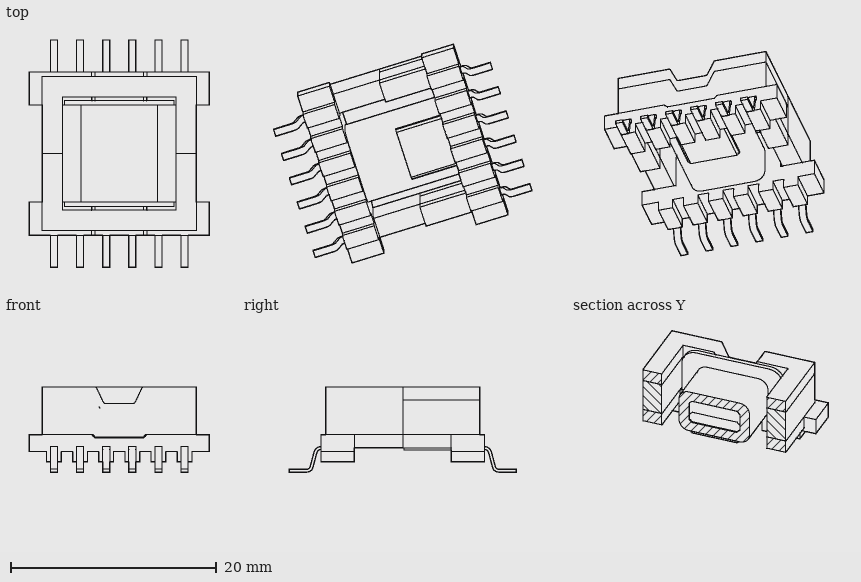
import cadquery as cq
import math


core_top = 8.3
core_height = 4.65
core_bottom = core_top - core_height
rear_core_drop = 1.3

core_width = 15.0
core_length = 7.5
window_width = 11.0
window_length = 5.5
notch_depth = 1.6
notch_top_width = 4.5
notch_floor_width = 3.0
notch_fillet = 0.2
leg_width = 5.3
leg_height = 2.4
leg_chamfer = 0.3
leg_protrusion = 0.2
leg_gap = 0.1
leg_bottom = core_bottom - leg_protrusion

base_width = 17.5
base_bottom = 2.0
base_top = core_bottom
base_inner_y = 4.7
base_outer_y = 7.95
groove_floor = 3.35
groove_floor_width = 4.76
groove_top_width = 5.36
flange_width = 10.6
flange_top = core_top
flange_corner = 1.5
flange_inner_y = base_inner_y
flange_outer_y = 5.15
barrel_wall = 1.07

pins_per_row = 6
pin_pitch = 2.54
foot_width = 1.45
foot_bottom = 1.0
pin_width = 0.7
pin_thickness = 0.3
pin_top = 2.5
pin_tip_y = 11.05
pin_lean = math.radians(15)
pin_shoulder_radius = 0.7
pin_ankle_radius = 0.35

row_x = [(i - (pins_per_row - 1) / 2) * pin_pitch for i in range(pins_per_row)]


def block(x_size, y_start, y_end, z_start, z_end):
    """Box centred on X, between the given Y and Z limits."""
    size = (x_size, y_end - y_start, z_end - z_start)
    solid = cq.Workplane("XY").box(*size, centered=(True, False, False))
    return solid.translate((0, y_start, z_start))


def extrude_along_y(sketch, y_start, y_end):
    """Extrude an XZ outline from y_start to y_end."""
    return sketch.extrude(y_start - y_end).translate((0, y_start, 0))


def trapezoid(width_low, width_high, z_low, z_high):
    """Symmetric XZ trapezoid."""
    return (
        cq.Workplane("XZ")
        .moveTo(-width_low / 2, z_low)
        .lineTo(width_low / 2, z_low)
        .lineTo(width_high / 2, z_high)
        .lineTo(-width_high / 2, z_high)
        .close()
    )


def centre_leg(y_start, y_end):
    """Flat centre leg with four chamfered long edges."""
    leg = block(leg_width, y_start, y_end, leg_bottom, leg_bottom + leg_height)
    return leg.edges("|Y").chamfer(leg_chamfer)


def e_core():
    """Rear E core: back wall, two arms, notched top and offset centre leg."""
    core = block(core_width, 0, core_length, core_bottom, core_top)
    core = core.cut(block(window_width, 0, window_length, core_bottom, core_top))
    notch_floor = core_top - notch_depth
    notch = trapezoid(notch_floor_width, notch_top_width, notch_floor, core_top)
    core = core.cut(extrude_along_y(notch, window_length, core_length))
    notch_x = notch_top_width / 2 + notch_fillet
    notch_edges = cq.selectors.BoxSelector(
        (-notch_x, window_length, notch_floor - notch_fillet),
        (notch_x, core_length, core_top + notch_fillet),
    )
    core = core.edges("|Y").edges(notch_edges).fillet(notch_fillet)
    return core.union(centre_leg(leg_gap, core_length))


def pin():
    """Gull-wing pin of the +Y row, centred on X = 0."""
    shoulder_inner = pin_shoulder_radius - pin_thickness
    ankle_outer = pin_ankle_radius + pin_thickness
    shoulder_z = pin_top - pin_shoulder_radius
    ankle_z = ankle_outer
    turn = math.pi / 2 - pin_lean

    bend_drop = (pin_shoulder_radius + pin_ankle_radius) * math.sin(pin_lean)
    straight = (shoulder_z + bend_drop - ankle_z) / math.cos(pin_lean)
    ankle_y = (
        base_outer_y
        + (pin_shoulder_radius + pin_ankle_radius) * math.sin(turn)
        + straight * math.sin(pin_lean)
    )

    def shoulder(radius, angle):
        """Point on the upper bend, turned by angle from its top."""
        return (base_outer_y + radius * math.sin(angle), shoulder_z + radius * math.cos(angle))

    def ankle(radius, angle):
        """Point on the lower bend, turned by angle from its bottom."""
        return (ankle_y - radius * math.sin(angle), ankle_z - radius * math.cos(angle))

    profile = (
        cq.Workplane("YZ")
        .moveTo(*shoulder(pin_shoulder_radius, 0))
        .threePointArc(shoulder(pin_shoulder_radius, turn / 2), shoulder(pin_shoulder_radius, turn))
        .lineTo(*ankle(pin_ankle_radius, turn))
        .threePointArc(ankle(pin_ankle_radius, turn / 2), ankle(pin_ankle_radius, 0))
        .lineTo(pin_tip_y, pin_thickness)
        .lineTo(pin_tip_y, 0)
        .lineTo(*ankle(ankle_outer, 0))
        .threePointArc(ankle(ankle_outer, turn / 2), ankle(ankle_outer, turn))
        .lineTo(*shoulder(shoulder_inner, turn))
        .threePointArc(shoulder(shoulder_inner, turn / 2), shoulder(shoulder_inner, 0))
        .close()
    )
    return profile.extrude(pin_width / 2, both=True)


def bobbin_end():
    """+Y end of the bobbin: grooved base, flange, feet and one row of pins."""
    end = block(base_width, base_inner_y, base_outer_y, base_bottom, base_top)
    groove = trapezoid(groove_floor_width, groove_top_width, groove_floor, base_top)
    end = end.cut(extrude_along_y(groove, base_inner_y, base_outer_y))
    flange = block(flange_width, flange_inner_y, flange_outer_y, base_bottom, flange_top)
    end = end.union(flange.edges("|Y and >Z").fillet(flange_corner))
    foot = block(foot_width, base_inner_y, base_outer_y, foot_bottom, base_bottom)
    for x in row_x:
        end = end.union(foot.translate((x, 0, 0)))
        end = end.union(pin().translate((x, 0, 0)))
    return end


def bobbin_body():
    """Barrel between two mirrored ends, with the leg tunnel through it."""
    barrel = block(
        leg_width + 2 * barrel_wall,
        -flange_inner_y,
        flange_inner_y,
        leg_bottom - barrel_wall,
        leg_bottom + leg_height + barrel_wall,
    )
    barrel = barrel.edges("|Y").fillet(barrel_wall)
    end = bobbin_end()
    body = barrel.union(end).union(end.mirror("XZ"))
    return body.cut(centre_leg(-flange_outer_y, flange_outer_y))


rear_core = e_core()
lowered_core = rear_core.translate((0, 0, -rear_core_drop))
front_core = rear_core.mirror("XZ")
rear_upper = rear_core.cut(lowered_core)
rear_middle = rear_core.intersect(lowered_core)
rear_lower = lowered_core.cut(rear_core)

bobbin = bobbin_body().cut(lowered_core)

bodies = [bobbin, front_core, rear_upper, rear_middle, rear_lower]
result = cq.Compound.makeCompound([body.solids().val() for body in bodies])